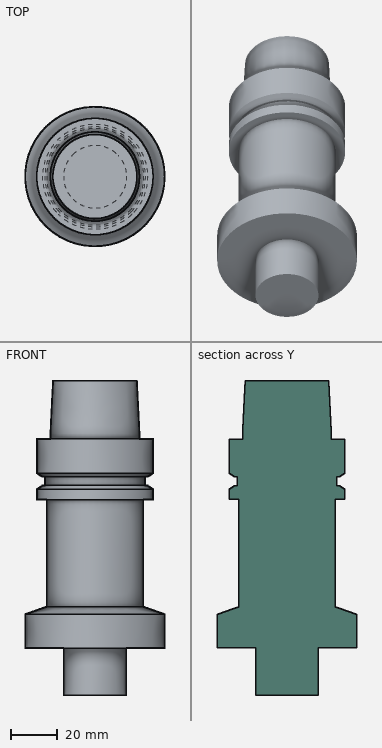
import cadquery as cq

spigot_diameter = 27.0
base_flange_diameter = 60.0
body_diameter = 41.6
collar_diameter = 50.0
groove_diameter = 43.0
taper_large_diameter = 38.3
taper_small_diameter = 36.0

total_length = 135.0
spigot_length = 20.2
base_flange_rim_length = 14.6
base_flange_cone_length = 3.2
body_length = 45.9
lower_collar_rim_length = 4.5
groove_floor_length = 3.6
groove_chamfer_length = 1.6
groove_chamfer_depth = 2.4
upper_collar_rim_length = 14.7
taper_seat_length = 2.0

groove_edge_diameter = collar_diameter - 2 * groove_chamfer_depth

base_flange_bottom = spigot_length
base_flange_rim_top = base_flange_bottom + base_flange_rim_length
body_bottom = base_flange_rim_top + base_flange_cone_length
body_top = body_bottom + body_length
lower_collar_rim_top = body_top + lower_collar_rim_length
groove_bottom = lower_collar_rim_top + groove_chamfer_length
groove_top = groove_bottom + groove_floor_length
upper_collar_rim_bottom = groove_top + groove_chamfer_length
upper_collar_top = upper_collar_rim_bottom + upper_collar_rim_length
taper_bottom = upper_collar_top + taper_seat_length

outline = [
    (spigot_diameter, 0),
    (spigot_diameter, base_flange_bottom),
    (base_flange_diameter, base_flange_bottom),
    (base_flange_diameter, base_flange_rim_top),
    (body_diameter, body_bottom),
    (body_diameter, body_top),
    (collar_diameter, body_top),
    (collar_diameter, lower_collar_rim_top),
    (groove_edge_diameter, groove_bottom),
    (groove_diameter, groove_bottom),
    (groove_diameter, groove_top),
    (groove_edge_diameter, groove_top),
    (collar_diameter, upper_collar_rim_bottom),
    (collar_diameter, upper_collar_top),
    (taper_large_diameter, upper_collar_top),
    (taper_large_diameter, taper_bottom),
    (taper_small_diameter, total_length),
]

half_section = [(0, 0)] + [(diameter / 2, height) for diameter, height in outline] + [(0, total_length)]
result = cq.Workplane("XZ").polyline(half_section).close().revolve(360, (0, 0, 0), (0, 1, 0))